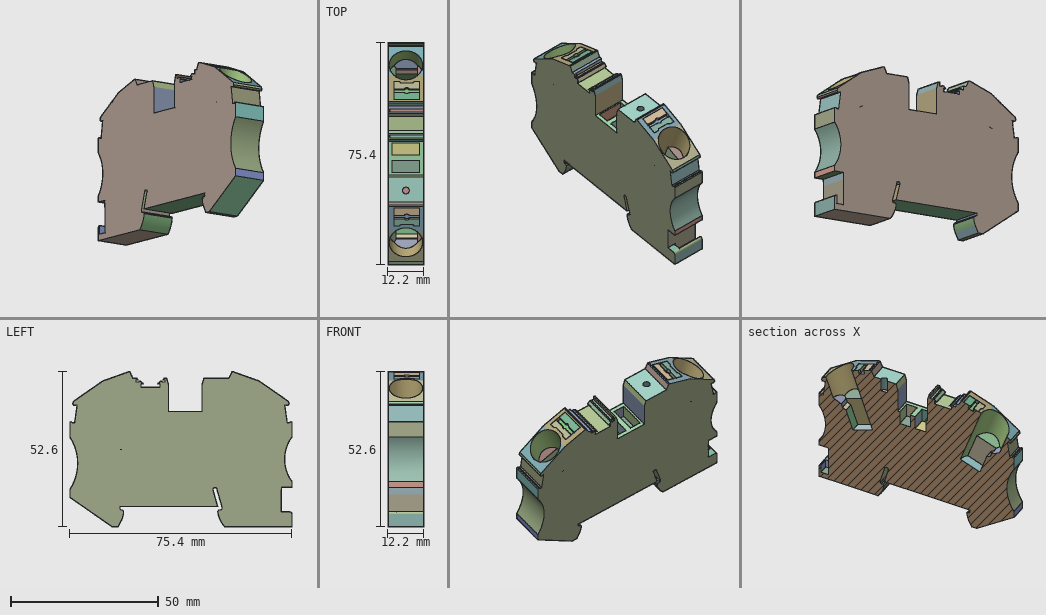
import cadquery as cq
import math


thickness = 12.15
length = 75.4
height = 52.63
half_length = length / 2
half_thickness = thickness / 2

deck_z = 50.5
ridge_foot_y = 16.3
ridge_inner_y = 17.3
ridge_outer_y = 17.8
roof_break = (26.45, 49.55)
eave = (36.45, 42.6)
roof_angle = math.atan2(height - roof_break[1], roof_break[0] - ridge_outer_y)

eave_tip = (36.75, 41.75)
eave_drip = (36.4, 41.2)
neck_top = (35.25, 41.3)
neck_foot_y = 36.1
lip_groove_z = 35.35
lip_groove_y = 36.7
lip_top = (37.3, 35.7)
lip_edge_z = 35.5

hollow_top_z = 30.5
rear_hollow_bottom_z = 12.65
rear_hollow_y = 35.05
front_hollow_bottom_z = 15.4
front_hollow_y = 35.2

heel_z = 10.0
heel_foot_y = 23.3
rail_seat_z = 6.85
claw_z = 5.75
claw_nose_z = 5.2
claw_bevel = 0.35
rear_claw_foot_y = 21.3
rear_claw_bend = (20.05, 2.4)
rear_claw_belly = (19.6, 3.7)
rear_claw_y = 19.4
rear_claw_root_y = 20.65
front_claw_foot_y = -14.85
front_claw_belly = (-13.15, 2.6)
front_claw_y = -12.45
front_claw_root_y = -13.88
spring_slot_mouth_y = -12.5
spring_slot_inner_y = -10.9
spring_slot_outer_y = -12.2
spring_slot_top = 13.3
spring_slot_round_z = 12.65

notch_y = -34.05
notch_floor_z = 5.15
notch_top_z = 13.4
notch_break_z = 10.9
notch_lean = 0.1
notch_lip = 0.9
shelf_length = 2.8
shelf_corner_radius = 0.6
notch_pocket_depth = 3.0

shaft_floor_z = 39.2
shaft_bevel_z = 48.2
shaft_rear_y = 4.15
shaft_front_y = -7.1
shaft_bevel = 0.68
bridge_opening_width = 9.35
bridge_opening_length = 4.0
bridge_opening_depth = 5.0
bridge_opening_ys = (1.6, -4.3)

marker_y = 10.32
marker_floor_z = 47.45
marker_hook_z = 48.5
marker_shelf_z = 49.42
marker_slit_z = 49.2
marker_lip_z = 49.8
marker_hook_offset = 2.35
marker_wall_offset = 3.18
marker_shelf_in = 3.35
marker_shelf_out = 3.95
marker_lip_offset = 4.2
marker_lip_top_offset = 4.65
marker_slit_offset = 4.88
marker_tab_width = 0.75

test_hole_y = -12.45
test_hole_diameter = 2.3
test_hole_depth = 5.0

contact_x = 0.3

panel_width = 8.65
panel_outer_y = 24.5
panel_inner_y = 18.4
panel_notch_y = 24.0
panel_notch_base = 5.0
panel_notch_tip = 4.1
panel_recess = 0.1
blade_slot_outer_y = 22.1
blade_slot_inner_y = 20.9
blade_slot_depth = 1.4
screw_hole_diameter = 2.1

entry_radius = 5.68
entry_inner_y = 25.1
entry_depth = 24.0
entry_overshoot = 6.0
ramp_start_depth = 11.2
ramp_length = 2.42
step_drop = 1.4
step_ramp_length = 1.07
chute_width = 7.2


def rear_crown():
    """Crown and neck from the ridge foot outward, down to the finger hollow."""
    return [
        (ridge_foot_y, deck_z),
        (ridge_inner_y, height),
        (ridge_outer_y, height),
        roof_break,
        eave,
        eave_tip,
        eave_drip,
        neck_top,
        (neck_foot_y, lip_groove_z),
        (lip_groove_y, lip_groove_z),
        lip_top,
        (half_length, lip_edge_z),
        (half_length, hollow_top_z),
    ]


def mirrored(points):
    """The same outline stretch at the other end of the block, in reverse order."""
    return [(-y, z) for y, z in reversed(points)]


def rear_foot():
    """Rear end face, fixed claw and rail seat, down to the spring slot."""
    hollow_mid_z = (hollow_top_z + rear_hollow_bottom_z) / 2
    return [
        ((rear_hollow_y, hollow_mid_z), (half_length, rear_hollow_bottom_z)),
        (half_length, heel_z),
        (heel_foot_y, 0),
        (rear_claw_foot_y, 0),
        rear_claw_bend,
        (rear_claw_belly, (rear_claw_y, claw_nose_z)),
        (rear_claw_y + claw_bevel, claw_z),
        (rear_claw_root_y - claw_bevel, claw_z),
        (rear_claw_root_y, claw_z + claw_bevel),
        (rear_claw_root_y, rail_seat_z),
    ]


def front_foot():
    """Spring slot, sprung claw, label notch and front end face."""
    hollow_mid_z = (hollow_top_z + front_hollow_bottom_z) / 2
    lip_y = -half_length + notch_lip
    lip_round_z = notch_floor_z - notch_lip
    lip_diagonal = notch_lip * math.sqrt(0.5)
    lip_mid = (lip_y - lip_diagonal, lip_round_z + lip_diagonal)
    slot_mid_y = (spring_slot_inner_y + spring_slot_outer_y) / 2
    return [
        (spring_slot_mouth_y, rail_seat_z),
        (spring_slot_inner_y, spring_slot_round_z),
        ((slot_mid_y, spring_slot_top), (spring_slot_outer_y, spring_slot_round_z)),
        (front_claw_root_y, rail_seat_z),
        (front_claw_root_y, claw_z + claw_bevel),
        (front_claw_root_y + claw_bevel, claw_z),
        (front_claw_y - claw_bevel, claw_z),
        (front_claw_y, claw_nose_z),
        (front_claw_belly, (front_claw_foot_y, 0)),
        (-half_length, 0),
        (-half_length, lip_round_z),
        (lip_mid, (lip_y, notch_floor_z)),
        (notch_y, notch_floor_z),
        (notch_y, notch_break_z),
        (notch_y - notch_lean, notch_top_z),
        (-half_length, notch_top_z),
        (-half_length, front_hollow_bottom_z),
        ((-front_hollow_y, hollow_mid_z), (-half_length, hollow_top_z)),
    ]


def shaft():
    """Open shaft between the crowns, from the front deck to the rear wall top."""
    return [
        (shaft_front_y - shaft_bevel, deck_z),
        (shaft_front_y, shaft_bevel_z),
        (shaft_front_y, shaft_floor_z),
        (shaft_rear_y, shaft_floor_z),
        (shaft_rear_y, shaft_bevel_z),
        (shaft_rear_y + shaft_bevel, deck_z),
    ]


def marker_groove():
    """Undercut marker groove, from its shaft side to its crown side."""
    crown_side = [
        (marker_wall_offset, marker_floor_z),
        (marker_wall_offset, marker_hook_z),
        (marker_hook_offset, marker_hook_z),
        (marker_shelf_in, marker_shelf_z),
        (marker_shelf_out, marker_shelf_z),
        (marker_shelf_out, marker_slit_z),
        (marker_slit_offset, marker_slit_z),
        (marker_slit_offset, marker_lip_z),
        (marker_lip_offset, marker_lip_z),
        (marker_lip_top_offset, deck_z),
    ]
    shaft_side = [(-offset, z) for offset, z in reversed(crown_side)]
    return [(marker_y + offset, z) for offset, z in shaft_side + crown_side]


def make_housing():
    crown = rear_crown()
    segments = crown + rear_foot() + front_foot() + mirrored(crown)[1:] + shaft() + marker_groove()
    outline = cq.Workplane("YZ").moveTo(*segments[0])
    for segment in segments[1:]:
        if isinstance(segment[0], tuple):
            outline = outline.threePointArc(*segment)
        else:
            outline = outline.lineTo(*segment)
    return outline.close().extrude(half_thickness, both=True)


def box_between(x_range, y_range, z_range):
    size = [high - low for low, high in (x_range, y_range, z_range)]
    corner = (x_range[0], y_range[0], z_range[0])
    return cq.Workplane("XY").box(*size, centered=False).translate(corner)


def marker_lip_relief():
    """Clears the marker lips except for short tabs at the -X side."""
    return box_between(
        (-half_thickness + marker_tab_width, half_thickness),
        (marker_y - marker_slit_offset, marker_y + marker_slit_offset),
        (marker_shelf_z, deck_z),
    )


def notch_pocket():
    """Pocket behind the label lip, open to +X, leaving a shelf at -X."""
    return box_between(
        (-half_thickness + shelf_length, half_thickness),
        (-half_length + notch_lip, notch_y),
        (notch_floor_z - notch_pocket_depth, notch_floor_z),
    ).edges("|Z and <X and >Y").fillet(shelf_corner_radius)


def bridge_openings():
    centres = [(0, y) for y in bridge_opening_ys]
    openings = cq.Workplane("XY", origin=(0, 0, shaft_floor_z)).pushPoints(centres)
    return openings.rect(bridge_opening_width, bridge_opening_length).extrude(-bridge_opening_depth)


def test_hole():
    start = cq.Workplane("XY", origin=(0, test_hole_y, deck_z))
    return start.circle(test_hole_diameter / 2).extrude(-test_hole_depth)


def roof_z(y):
    return roof_break[1] + (roof_break[0] - y) * math.tan(roof_angle)


def roof_plane(y):
    """Plane on the rear roof slope: local x is X, local y runs down the slope, normal points out."""
    normal = (0, math.sin(roof_angle), math.cos(roof_angle))
    return cq.Plane(origin=(0, y, roof_z(y)), xDir=(1, 0, 0), normal=normal)


def screwdriver_panel():
    """Shallow panel with a blade slot and a central screw hole."""
    middle_y = (blade_slot_outer_y + blade_slot_inner_y) / 2
    plane = roof_plane(middle_y)

    def down_slope(y):
        return (y - middle_y) / math.cos(roof_angle)

    outer = down_slope(panel_outer_y)
    inner = down_slope(panel_inner_y)
    notch = down_slope(panel_notch_y)
    left = contact_x - panel_width / 2
    right = contact_x + panel_width / 2
    panel = cq.Workplane(plane).polyline([
        (left, inner),
        (right, inner),
        (right, outer),
        (contact_x + panel_notch_base / 2, outer),
        (contact_x + panel_notch_tip / 2, notch),
        (contact_x - panel_notch_tip / 2, notch),
        (contact_x - panel_notch_base / 2, outer),
        (left, outer),
    ]).close().extrude(-panel_recess)
    slot_width = down_slope(blade_slot_outer_y) - down_slope(blade_slot_inner_y)
    slot_centre = cq.Workplane(plane).center(contact_x, 0)
    slot = slot_centre.rect(panel_width, slot_width).extrude(-blade_slot_depth)
    hole_centre = cq.Workplane(plane).center(contact_x, 0)
    hole = hole_centre.circle(screw_hole_diameter / 2).extrude(-blade_slot_depth)
    return panel.union(slot).union(hole)


def conductor_entry():
    """Round bore that narrows through sloped ramps into a rectangular chute."""
    axis_y = entry_inner_y + entry_radius * math.cos(roof_angle)
    plane = roof_plane(axis_y)
    bore = cq.Workplane(plane).workplane(offset=-entry_depth).circle(entry_radius)
    bore = bore.extrude(entry_depth + entry_overshoot)

    ramp_foot = entry_radius - ramp_length
    ramp_foot_depth = ramp_start_depth + ramp_length
    step_foot = ramp_foot - step_ramp_length
    step_foot_depth = ramp_foot_depth + step_drop + step_ramp_length
    stepped_side = [
        (entry_radius, entry_overshoot),
        (entry_radius, -ramp_start_depth),
        (ramp_foot, -ramp_foot_depth),
        (ramp_foot, -ramp_foot_depth - step_drop),
        (step_foot, -step_foot_depth),
        (step_foot, -entry_depth),
        (-entry_radius, -entry_depth),
        (-entry_radius, entry_overshoot),
    ]
    side_plane = cq.Plane(origin=plane.origin, xDir=plane.yDir, normal=plane.xDir)
    ramps = cq.Workplane(side_plane).polyline(stepped_side).close().extrude(entry_radius, both=True)

    def funnel_side(side):
        """One flank of the funnel, sloped at 45 degrees down to the chute wall."""
        rim_x = side * entry_radius
        wall_x = contact_x + side * chute_width / 2
        foot_depth = ramp_start_depth + abs(rim_x - wall_x)
        return [
            (rim_x, entry_overshoot),
            (rim_x, -ramp_start_depth),
            (wall_x, -foot_depth),
            (wall_x, -entry_depth),
        ]

    end_plane = cq.Plane(origin=plane.origin, xDir=plane.xDir, normal=-plane.yDir)
    funnel = cq.Workplane(end_plane).polyline(funnel_side(1) + funnel_side(-1)[::-1]).close()
    funnel = funnel.extrude(entry_radius, both=True)
    return bore.intersect(ramps).intersect(funnel)


housing = make_housing()
housing = housing.cut(marker_lip_relief())
housing = housing.cut(notch_pocket())
housing = housing.cut(bridge_openings())
housing = housing.cut(test_hole())
for tool in (screwdriver_panel(), conductor_entry()):
    housing = housing.cut(tool).cut(tool.mirror("XZ"))

result = housing